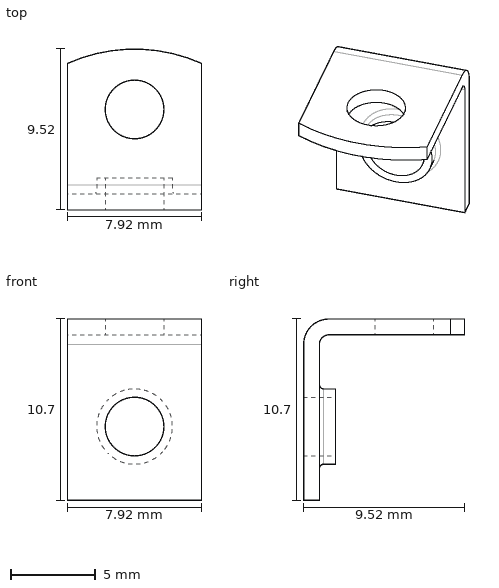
import cadquery as cq

width = 7.92
depth = 9.52
height = 10.72
thickness = 0.94
outer_bend_radius = 1.5
inner_bend_radius = outer_bend_radius - thickness

crown_rise = 0.85

hole_diameter = 3.45
top_hole_y = 5.95
front_hole_z = 4.36
collar_diameter = 4.46
collar_height = 0.94
collar_fillet = 0.25

half_width = width / 2


def bent_plate():
    """L-shaped strip, outer corner at Y = 0, Z = height, centred on X."""
    profile = (
        cq.Workplane("YZ")
        .moveTo(0, 0)
        .lineTo(0, height - outer_bend_radius)
        .radiusArc((outer_bend_radius, height), outer_bend_radius)
        .lineTo(depth, height)
        .lineTo(depth, height - thickness)
        .lineTo(outer_bend_radius, height - thickness)
        .radiusArc((thickness, height - outer_bend_radius), -inner_bend_radius)
        .lineTo(thickness, 0)
        .close()
    )
    return profile.extrude(half_width, both=True)


def crowned_outline():
    """Plan outline whose far edge is a shallow arc."""
    return (
        cq.Workplane("XY")
        .moveTo(-half_width, 0)
        .lineTo(half_width, 0)
        .lineTo(half_width, depth - crown_rise)
        .threePointArc((0, depth), (-half_width, depth - crown_rise))
        .close()
        .extrude(height)
    )


def collar():
    """Collar on the inner face, with a concave flare at its root."""
    radius = collar_diameter / 2
    flare_radius = radius + collar_fillet
    tip_y = thickness + collar_height
    return (
        cq.Workplane("XY")
        .moveTo(0, thickness / 2)
        .lineTo(flare_radius, thickness / 2)
        .lineTo(flare_radius, thickness)
        .radiusArc((radius, thickness + collar_fillet), collar_fillet)
        .lineTo(radius, tip_y)
        .lineTo(0, tip_y)
        .close()
        .revolve(360, (0, 0, 0), (0, 1, 0))
        .translate((0, 0, front_hole_z))
    )


top_hole = (
    cq.Workplane("XY", origin=(0, top_hole_y, height - thickness))
    .circle(hole_diameter / 2)
    .extrude(thickness)
)
front_hole = (
    cq.Workplane("XZ", origin=(0, 0, front_hole_z))
    .circle(hole_diameter / 2)
    .extrude(-(thickness + collar_height))
)

result = bent_plate().intersect(crowned_outline()).union(collar()).cut(top_hole).cut(front_hole)